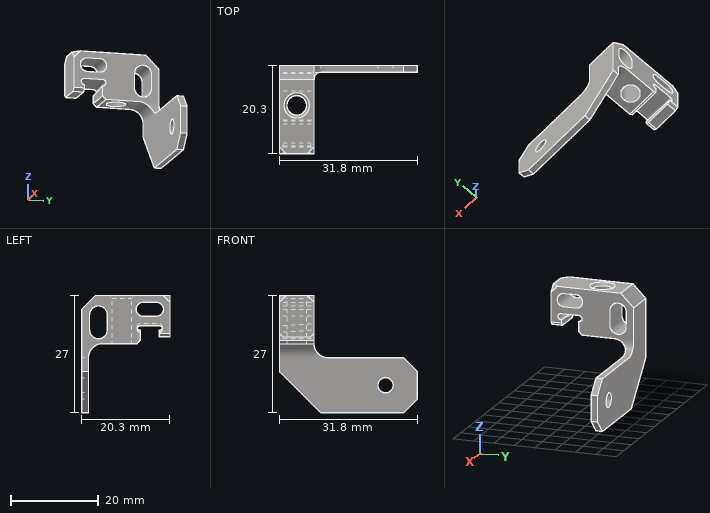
import cadquery as cq
import math

LENGTH = 31.75
DEPTH = 20.32
HEIGHT = 27.0

PLATE_THICKNESS = 1.6
PLATE_TOP = 12.7
PLATE_CORNER = 3.18
PLATE_LARGE_CORNER = 9.52
PLATE_HOLE_X = 24.4
PLATE_HOLE_Z = PLATE_TOP / 2
PLATE_HOLE_DIAMETER = 3.43

ARM_WIDTH = 8.0
ROOT_RADIUS = 3.18
ARM_BOTTOM = PLATE_TOP + ROOT_RADIUS
BACK_CHAMFER = 3.18
TIP_CORNER = 1.6
SMALL_CHAMFER = 0.8

JAW_THICKNESS = 2.55
JAW_BOTTOM = 17.45
MOUTH_WIDTH = 4.3
GROOVE_WIDTH = 5.85
GROOVE_HEIGHT = 1.45
GROOVE_BOTTOM = 18.5
GROOVE_RISE = 0.55
MOUTH_FRONT = JAW_THICKNESS - DEPTH
MOUTH_BACK = MOUTH_FRONT + MOUTH_WIDTH
MOUTH_Y = (MOUTH_FRONT + MOUTH_BACK) / 2
GROOVE_TILT = math.degrees(math.atan(GROOVE_RISE / ARM_WIDTH))

BACK_WINDOW_Y = -3.85
BACK_WINDOW_Z = 20.8
BACK_WINDOW_HEIGHT = 7.5
BACK_WINDOW_WIDTH = 4.0
FRONT_WINDOW_Y = -15.65
FRONT_WINDOW_Z = 23.8
FRONT_WINDOW_LENGTH = 6.22
FRONT_WINDOW_HEIGHT = 3.18

SCREW_Y = -9.18
SCREW_DIAMETER = 4.45
COUNTERSINK_DIAMETER = 5.8
COUNTERSINK_ANGLE = 90.0


def side_body():
    """Side outline of plate and arm, swept over the full length."""
    arc_middle = ROOT_RADIUS * math.sqrt(0.5)
    root_y = -PLATE_THICKNESS - ROOT_RADIUS
    return (
        cq.Workplane("YZ")
        .moveTo(0, 0)
        .lineTo(0, HEIGHT - BACK_CHAMFER)
        .lineTo(-BACK_CHAMFER, HEIGHT)
        .lineTo(-DEPTH, HEIGHT)
        .lineTo(-DEPTH, JAW_BOTTOM)
        .lineTo(MOUTH_FRONT, JAW_BOTTOM)
        .lineTo(MOUTH_FRONT, GROOVE_BOTTOM)
        .lineTo(MOUTH_BACK, GROOVE_BOTTOM)
        .lineTo(MOUTH_BACK, ARM_BOTTOM + SMALL_CHAMFER)
        .lineTo(MOUTH_BACK + SMALL_CHAMFER, ARM_BOTTOM)
        .lineTo(root_y, ARM_BOTTOM)
        .threePointArc(
            (root_y + arc_middle, PLATE_TOP + arc_middle),
            (-PLATE_THICKNESS, PLATE_TOP),
        )
        .lineTo(-PLATE_THICKNESS, 0)
        .close()
        .extrude(LENGTH)
    )


def front_outline():
    """Front outline: wide plate with the narrow arm rising at its left end."""
    arc_middle = ROOT_RADIUS * math.sqrt(0.5)
    arc_x = ARM_WIDTH + ROOT_RADIUS
    return (
        cq.Workplane("XZ")
        .moveTo(0, HEIGHT)
        .lineTo(ARM_WIDTH, HEIGHT)
        .lineTo(ARM_WIDTH, ARM_BOTTOM)
        .threePointArc((arc_x - arc_middle, ARM_BOTTOM - arc_middle), (arc_x, PLATE_TOP))
        .lineTo(LENGTH - PLATE_CORNER, PLATE_TOP)
        .lineTo(LENGTH, PLATE_TOP - PLATE_CORNER)
        .lineTo(LENGTH, PLATE_CORNER)
        .lineTo(LENGTH - PLATE_CORNER, 0)
        .lineTo(PLATE_LARGE_CORNER, 0)
        .lineTo(0, PLATE_LARGE_CORNER)
        .close()
        .extrude(DEPTH)
    )


def window(y, z, length, width, angle):
    """Rounded slot cutter passing through the arm along X."""
    return cq.Workplane("YZ").center(y, z).slot2D(length, width, angle).extrude(ARM_WIDTH)


def clamp_groove():
    """Rounded groove with its open mouth below, tilted to rise along X."""
    start = -ARM_WIDTH
    run = 3 * ARM_WIDTH
    groove_z = GROOVE_BOTTOM + GROOVE_HEIGHT / 2
    groove = (
        cq.Workplane("YZ", origin=(start, MOUTH_Y, groove_z))
        .slot2D(GROOVE_WIDTH, GROOVE_HEIGHT)
        .extrude(run)
        .rotate((0, MOUTH_Y, groove_z), (0, MOUTH_Y + 0.32, groove_z), -GROOVE_TILT)
    )
    mouth_height = groove_z + GROOVE_RISE - ARM_BOTTOM
    mouth = cq.Workplane("XY").box(ARM_WIDTH, MOUTH_WIDTH, mouth_height, centered=(False, True, False))
    return groove.union(mouth.translate((0, MOUTH_Y, ARM_BOTTOM)))


def tip_corner(x, inward):
    """Tetrahedron that bevels one upper corner of the arm tip."""
    corner = cq.Vector(x, -DEPTH, HEIGHT)
    along_x = corner + cq.Vector(inward * TIP_CORNER, 0, 0)
    along_y = corner + cq.Vector(0, TIP_CORNER, 0)
    along_z = corner - cq.Vector(0, 0, TIP_CORNER)
    triangles = [
        (corner, along_x, along_y),
        (corner, along_y, along_z),
        (corner, along_z, along_x),
        (along_x, along_y, along_z),
    ]
    faces = [cq.Face.makeFromWires(cq.Wire.makePolygon(t, close=True)) for t in triangles]
    return cq.Workplane(obj=cq.Solid.makeSolid(cq.Shell.makeShell(faces)))


def jaw_corner(x, inward):
    """Prism that bevels one lower side edge of the front jaw."""
    return (
        cq.Workplane("XZ", origin=(0, MOUTH_FRONT, 0))
        .moveTo(x, JAW_BOTTOM)
        .lineTo(x + inward * SMALL_CHAMFER, JAW_BOTTOM)
        .lineTo(x, JAW_BOTTOM + SMALL_CHAMFER)
        .close()
        .extrude(JAW_THICKNESS)
    )


result = side_body().intersect(front_outline())
result = result.cut(clamp_groove())
result = result.cut(window(BACK_WINDOW_Y, BACK_WINDOW_Z, BACK_WINDOW_HEIGHT, BACK_WINDOW_WIDTH, 90))
result = result.cut(window(FRONT_WINDOW_Y, FRONT_WINDOW_Z, FRONT_WINDOW_LENGTH, FRONT_WINDOW_HEIGHT, 0))

for side_x, inward in ((0, 1), (ARM_WIDTH, -1)):
    result = result.cut(tip_corner(side_x, inward))
    result = result.cut(jaw_corner(side_x, inward))

result = (
    result.copyWorkplane(cq.Workplane("XY", origin=(ARM_WIDTH / 2, SCREW_Y, HEIGHT)))
    .cskHole(SCREW_DIAMETER, COUNTERSINK_DIAMETER, COUNTERSINK_ANGLE, HEIGHT - ARM_BOTTOM)
)

plate_hole = (
    cq.Workplane("XZ", origin=(PLATE_HOLE_X, 0, PLATE_HOLE_Z))
    .circle(PLATE_HOLE_DIAMETER / 2)
    .extrude(PLATE_THICKNESS)
)
result = result.cut(plate_hole)